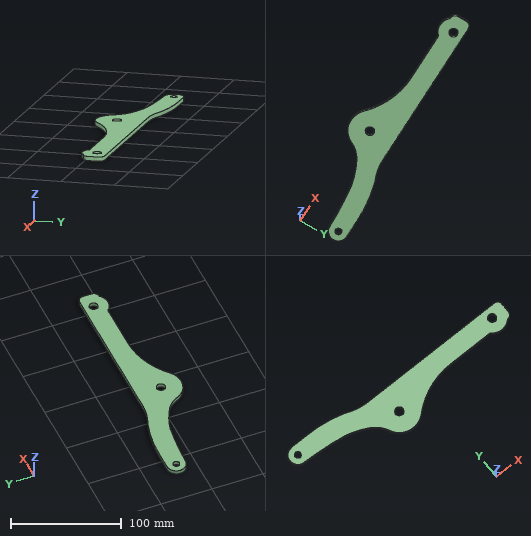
import cadquery as cq
import math

length = 241.0
width = 55.2
thickness = 4.0

tip_radius = 9.2
tip_hole_diameter = 6.0
tip_x = tip_radius
tip_y = width - tip_radius

pivot_x = 105.8
pivot_radius = 20.0
pivot_hole_diameter = 8.2
pivot_y = pivot_radius

bar_top = 44.5
bar_bottom = 25.0
bar_corner_radius = 5.5
end_x = 225.5
end_y = 35.0
end_lobe_radius = 14.2
end_hole_diameter = 8.0

upper_curve_start_x = 25.3
upper_curve_middle = (48.2, 53.7)
upper_bend = (66.3, 49.6)
upper_fillet_middle = (76.6, 46.0)
bar_top_start_x = 89.2
lower_curve_middle = (31.3, 35.7)
lower_bend = (53.5, 33.0)
shoulder_middle = (65.3, 29.5)
shoulder_end = (76.2, 24.3)
neck_middle = (82.5, 19.3)
neck_end_x = 87.2
haunch_start_x = 118.5
bar_bottom_start_x = 169.5


def below_center(center_x, center_y, radius, x):
    """Point at x on the lower half of a circle."""
    return x, center_y - math.sqrt(radius**2 - (x - center_x) ** 2)


neck_end = below_center(pivot_x, pivot_y, pivot_radius, neck_end_x)
haunch_start = below_center(pivot_x, pivot_y, pivot_radius, haunch_start_x)

haunch_run = bar_bottom_start_x - haunch_start_x
haunch_rise = bar_bottom - haunch_start[1]
haunch_radius = (haunch_run**2 + haunch_rise**2) / (2 * haunch_rise)
haunch_middle_y = (
    bar_bottom - haunch_radius + math.sqrt(haunch_radius**2 - (haunch_run / 2) ** 2)
)
haunch_middle = (haunch_start_x + haunch_run / 2, haunch_middle_y)

corner_start_x = length - bar_corner_radius
lobe_half_chord = corner_start_x - end_x

corner_inset = bar_corner_radius * (1 - math.sqrt(0.5))

outline = (
    cq.Workplane("XY")
    .moveTo(tip_x, width)
    .threePointArc((0, tip_y), (tip_x, tip_y - tip_radius))
    .threePointArc(lower_curve_middle, lower_bend)
    .threePointArc(shoulder_middle, shoulder_end)
    .threePointArc(neck_middle, neck_end)
    .threePointArc((pivot_x, 0), haunch_start)
    .threePointArc(haunch_middle, (bar_bottom_start_x, bar_bottom))
    .lineTo(end_x - lobe_half_chord, bar_bottom)
    .threePointArc((end_x, end_y - end_lobe_radius), (corner_start_x, bar_bottom))
    .threePointArc(
        (length - corner_inset, bar_bottom + corner_inset),
        (length, bar_bottom + bar_corner_radius),
    )
    .lineTo(length, bar_top - bar_corner_radius)
    .threePointArc(
        (length - corner_inset, bar_top - corner_inset), (corner_start_x, bar_top)
    )
    .lineTo(bar_top_start_x, bar_top)
    .threePointArc(upper_fillet_middle, upper_bend)
    .threePointArc(upper_curve_middle, (upper_curve_start_x, width))
    .close()
)
result = outline.extrude(thickness)

for x, y, diameter in (
    (tip_x, tip_y, tip_hole_diameter),
    (pivot_x, pivot_y, pivot_hole_diameter),
    (end_x, end_y, end_hole_diameter),
):
    hole = cq.Workplane("XY").center(x, y).circle(diameter / 2).extrude(thickness)
    result = result.cut(hole)